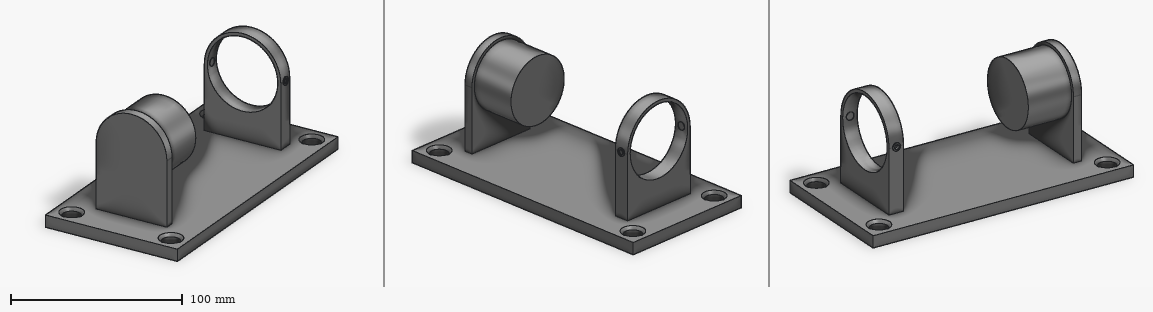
import cadquery as cq

base_width = 90.0
base_length = 180.0
base_thickness = 8.0

screw_spacing_x = 67.7
screw_spacing_y = 157.7
screw_diameter = 11.2
countersink_diameter = 15.0
countersink_angle = 90.0

axis_height = 50.5

ring_radius = 26.1
bore_radius = 24.0
ring_thickness = 10.0
ring_front_y = 56.9

pin_diameter = 5.2
pin_proud = 0.5
pin_inner_proud = 0.4
socket_diameter = 3.0
socket_depth = 1.8

bracket_radius = 24.1
bracket_thickness = 5.8
bracket_front_y = -67.5
boss_radius = 22.1
boss_length = 29.9


def axis_plane(y):
    """Plane facing -Y whose origin lies on the common axis."""
    return cq.Plane(origin=(0, y, axis_height), xDir=(1, 0, 0), normal=(0, -1, 0))


def cylinder_on_axis(radius, start_y, length):
    return cq.Workplane(axis_plane(start_y)).circle(radius).extrude(-length)


def round_top_plate(radius, front_y, thickness):
    """Upright plate standing on the base, with a half-round top about the axis."""
    foot = base_thickness - axis_height
    return (
        cq.Workplane(axis_plane(front_y))
        .moveTo(-radius, foot)
        .lineTo(radius, foot)
        .lineTo(radius, 0)
        .threePointArc((0, radius), (-radius, 0))
        .close()
        .extrude(-thickness)
    )


def make_base():
    plate = cq.Workplane("XY").box(base_width, base_length, base_thickness, centered=(True, True, False))
    return (
        plate.faces(">Z")
        .workplane()
        .rect(screw_spacing_x, screw_spacing_y, forConstruction=True)
        .vertices()
        .cskHole(screw_diameter, countersink_diameter, countersink_angle)
    )


def rod_through_wall(side, diameter, length):
    """Rod along X running inward from the outer end of a pin; side is -1 or 1."""
    outer_end = side * (ring_radius + pin_proud)
    center_y = ring_front_y + ring_thickness / 2
    plane = cq.Plane(origin=(outer_end, center_y, axis_height), xDir=(0, 1, 0), normal=(-side, 0, 0))
    return cq.Workplane(plane).circle(diameter / 2).extrude(length)


def make_pin(side):
    """Pin standing slightly proud of both wall faces, with a blind socket in its outer end."""
    length = pin_proud + ring_radius - bore_radius + pin_inner_proud
    pin = rod_through_wall(side, pin_diameter, length)
    return pin.cut(rod_through_wall(side, socket_diameter, socket_depth))


def make_ring():
    plate = round_top_plate(ring_radius, ring_front_y, ring_thickness)
    return plate.cut(cylinder_on_axis(bore_radius, ring_front_y, ring_thickness))


def make_bracket():
    """Upright plate with a round boss pointing at the ring."""
    plate = round_top_plate(bracket_radius, bracket_front_y, bracket_thickness)
    return plate.union(cylinder_on_axis(boss_radius, bracket_front_y, bracket_thickness + boss_length))


def make_holder():
    """Base, ring and boss bracket in one piece, bored for the loose pin on the -X side."""
    holder = make_base().union(make_ring()).union(make_bracket())
    pin_hole = rod_through_wall(-1, pin_diameter, ring_radius)
    return holder.cut(pin_hole).union(make_pin(1))


holder = make_holder()
pin = make_pin(-1)
result = cq.Compound.makeCompound([*holder.solids().vals(), *pin.solids().vals()])